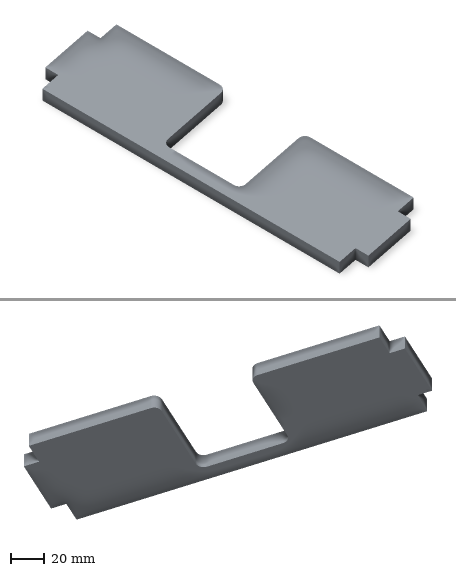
import cadquery as cq

overall_length = 250.0
plate_width = 70.0
thickness = 10.0
tab_projection = 10.0
tab_width = 40.0
notch_length = 60.0
notch_depth = 60.0
corner_radius = 5.0

body_length = overall_length - 2 * tab_projection
back_edge = plate_width / 2
notch_floor = back_edge - notch_depth
half_notch = notch_length / 2


def make_plate():
    """Rectangular plate with a centred tab projecting from each end."""
    body = cq.Workplane("XY").rect(body_length, plate_width).extrude(thickness)
    tabs = cq.Workplane("XY").rect(overall_length, tab_width).extrude(thickness)
    return body.union(tabs)


def cut_notch(plate):
    """Open a notch through the +Y edge, with rounded floor and mouth corners."""
    notch = (
        cq.Workplane("XY")
        .center(0, back_edge - notch_depth / 2)
        .rect(notch_length, notch_depth)
        .extrude(thickness)
    )
    notched = plate.cut(notch)
    for y in (notch_floor, back_edge):
        for x in (-half_notch, half_notch):
            corner = cq.selectors.NearestToPointSelector((x, y, thickness / 2))
            notched = notched.edges("|Z").edges(corner).fillet(corner_radius)
    return notched


result = cut_notch(make_plate())